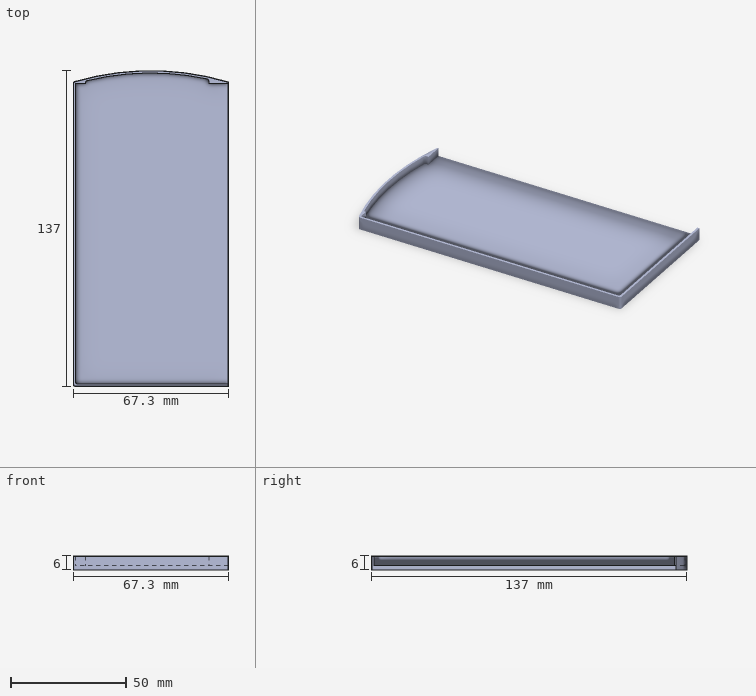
import cadquery as cq

width = 67.3
length = 137.0
height = 6.0

floor_thickness = 2.0
wall = 1.0
arch_rise = 5.0
corner_radius = 1.0
inner_corner_radius = corner_radius

shoulder_depth = 5.5
left_shoulder = 5.3
right_shoulder = 8.5
recess_corner_radius = 1.0

half_width = width / 2
front = -length / 2
crown = length / 2
arch_spring = crown - arch_rise
shoulder = crown - shoulder_depth
arch_radius = (half_width**2 + arch_rise**2) / (2 * arch_rise)
arch_center = crown - arch_radius


def make_body():
    """Solid block with an arched back and rounded left corners."""
    body = (
        cq.Workplane("XY")
        .moveTo(-half_width, front)
        .lineTo(half_width, front)
        .lineTo(half_width, arch_spring)
        .threePointArc((0, crown), (-half_width, arch_spring))
        .close()
        .extrude(height)
    )
    return body.edges("|Z and <X").fillet(corner_radius)


def make_main_pocket():
    """Rectangular pocket that runs out through the open right side."""
    pocket = (
        cq.Workplane("XY", origin=(0, 0, floor_thickness))
        .moveTo(-half_width + wall, front + wall)
        .lineTo(half_width, front + wall)
        .lineTo(half_width, shoulder)
        .lineTo(-half_width + wall, shoulder)
        .close()
        .extrude(height - floor_thickness)
    )
    return pocket.edges("|Z and <X and <Y").fillet(inner_corner_radius)


def make_arch_recess():
    """Recess between the shoulders, following the arch at one wall thickness."""
    recess_left = -half_width + left_shoulder
    recess_right = half_width - right_shoulder
    recess_width = recess_right - recess_left
    pocket_height = height - floor_thickness
    strip = (
        cq.Workplane("XY", origin=(recess_left, shoulder - wall, floor_thickness))
        .rect(recess_width, shoulder_depth + wall, centered=False)
        .extrude(pocket_height)
    )
    disc = (
        cq.Workplane("XY", origin=(0, arch_center, floor_thickness))
        .circle(arch_radius - wall)
        .extrude(pocket_height)
    )
    back_corners = cq.selectors.BoxSelector(
        (-half_width, shoulder, 0), (half_width, crown, height)
    )
    return strip.intersect(disc).edges("|Z").edges(back_corners).fillet(recess_corner_radius)


result = make_body().cut(make_main_pocket()).cut(make_arch_recess())